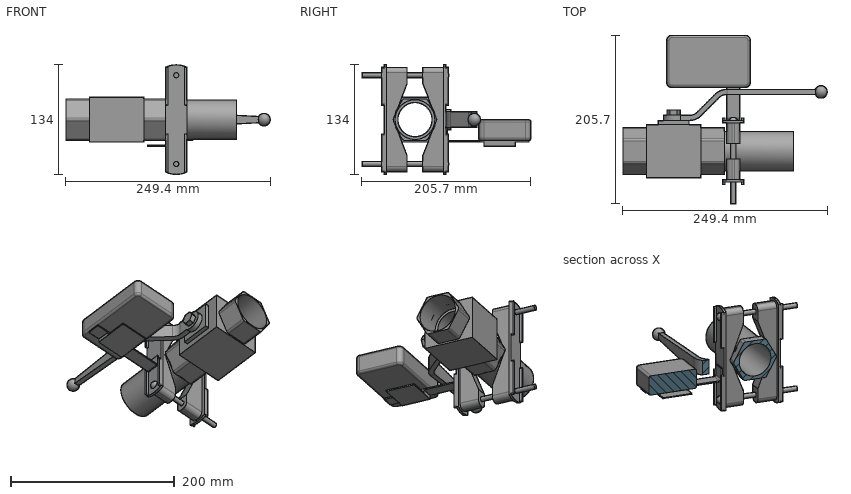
import cadquery as cq
import math


PIPE_DIA = 48.5
PIPE_BORE = 41.5
PIPE_END_X = 208.2
HEX_FLATS = 50.5
HEX_EDGE_RADIUS = 3.7
HEX_LENGTH = 124.0
BLOCK_LENGTH = 66.3
BLOCK_WIDTH = 64.8
BLOCK_HEIGHT = 55.0
SOCKET_DEPTH = 40.0
VALVE_MID_X = HEX_LENGTH / 2

BONNET_SIZE = 38.0
BONNET_HEIGHT = 5.0
NUT_FLATS = 14.5
NUT_HEIGHT = 6.5
BONNET_Y = BLOCK_WIDTH / 2
LEVER_Y = BONNET_Y + BONNET_HEIGHT

LEVER_THICKNESS = 6.5
LEVER_WIDTH = 19.2
LEVER_TIP_WIDTH = 7.2
LEVER_OFFSET = 31.7
LEVER_BEND_X = 88.3
LEVER_BEND_RADIUS = 16.5
LEVER_BEND_ANGLE = math.radians(45)
HUB_DIA = 25.2
BALL_RADIUS = 7.7
TOTAL_LENGTH = 249.4
BALL_X = TOTAL_LENGTH - BALL_RADIUS

CLAMP_X = 134.7
CLAMP_WIDTH = 25.7
CLAMP_HEIGHT = 134.0
PLATE_INNER_Y = 34.7
PLATE_THICKNESS = 3.0
PLATE_CROWN = 3.0
LIP_WIDTH = 3.0
LIP_HEIGHT = 3.0
LIP_INNER_Z = 17.5
PAD_WIDTH = 16.2
PAD_HEIGHT = 127.7
PAD_CORNER_RADIUS = 6.5
PAD_TIP_Y = 9.5
NOTCH_APEX_Y = 26.7
NOTCH_HALF_HEIGHT = 44.0
ROD_DIA = 6.2
ROD_Z = 54.0
ROD_END_Y = -64.3
HEAD_HEIGHT = 3.7
HEAD_DIA = 10.5
PLATE_OUTER_Y = PLATE_INNER_Y + PLATE_THICKNESS
PLATE_EDGE_Z = CLAMP_HEIGHT / 2 - PLATE_CROWN

TOTAL_DEPTH = 205.7
BOX_MIN_X = 53.4
BOX_LENGTH = 102.2
BOX_WIDTH = 63.8
BOX_HEIGHT = 25.7
BOX_CORNER_RADIUS = 6.5
BOX_EDGE_RADIUS = 3.0
SHEET = 1.7
ARM_END_Y = 139.1
TAB_TOP_Z = -10.0
TAB_BEND_RADIUS = 2.0
HOOK_MIN_X = 99.7
HOOK_MIN_Y = 84.0
HOOK_MAX_Y = 122.5
HOOK_GAP = 3.5
BOX_MAX_Y = TOTAL_DEPTH + ROD_END_Y
ARM_TOP_Z = -BOX_HEIGHT


def box_between(low, high):
    """Box between two opposite corners."""
    size = [b - a for a, b in zip(low, high)]
    return cq.Workplane("XY").box(*size, centered=False).translate(low)


def hexagon_corners(flats):
    """Width across the corners of a hexagon from its width across the flats."""
    return flats / math.cos(math.pi / 6)


def make_valve_core():
    """Hexagonal ends, square block and outlet pipe, bored through."""
    hexagon = (
        cq.Workplane("YZ").polygon(6, hexagon_corners(HEX_FLATS)).extrude(HEX_LENGTH)
        .edges("|X").fillet(HEX_EDGE_RADIUS)
    )
    block = cq.Workplane("XY").box(BLOCK_LENGTH, BLOCK_WIDTH, BLOCK_HEIGHT).translate((VALVE_MID_X, 0, 0))
    pipe = cq.Workplane("YZ").circle(PIPE_DIA / 2).extrude(PIPE_END_X)
    bore = cq.Workplane("YZ").circle(PIPE_BORE / 2).extrude(PIPE_END_X)
    socket = cq.Workplane("YZ").circle(PIPE_DIA / 2).extrude(SOCKET_DEPTH)
    return hexagon.union(block).union(pipe).cut(bore).cut(socket)


def make_stem():
    """Square bonnet, lever hub and hexagonal nut along the stem axis."""
    def stem_plane(y):
        return cq.Workplane(cq.Plane((VALVE_MID_X, y, 0), xDir=(1, 0, 0), normal=(0, 1, 0)))

    bonnet = stem_plane(BONNET_Y).rect(BONNET_SIZE, BONNET_SIZE).extrude(BONNET_HEIGHT)
    hub = stem_plane(LEVER_Y).circle(HUB_DIA / 2).extrude(LEVER_THICKNESS)
    nut = stem_plane(LEVER_Y + LEVER_THICKNESS).polygon(6, hexagon_corners(NUT_FLATS)).extrude(NUT_HEIGHT)
    return bonnet.union(hub).union(nut)


def make_lever():
    """Flat bar with two opposite bends, tapering to a ball knob."""
    low_y = LEVER_Y + LEVER_THICKNESS / 2
    high_y = low_y + LEVER_OFFSET
    high_bend_x = LEVER_BEND_X + LEVER_OFFSET / math.tan(LEVER_BEND_ANGLE)
    tangent = LEVER_BEND_RADIUS * math.tan(LEVER_BEND_ANGLE / 2)
    tangent_dx = tangent * math.cos(LEVER_BEND_ANGLE)
    tangent_dy = tangent * math.sin(LEVER_BEND_ANGLE)
    taper_start_x = high_bend_x + tangent

    path = (
        cq.Workplane("XY").moveTo(VALVE_MID_X, low_y)
        .lineTo(LEVER_BEND_X - tangent, low_y)
        .tangentArcPoint((LEVER_BEND_X + tangent_dx, low_y + tangent_dy), relative=False)
        .lineTo(high_bend_x - tangent_dx, high_y - tangent_dy)
        .tangentArcPoint((taper_start_x, high_y), relative=False)
        .lineTo(BALL_X, high_y)
    )
    bar = (
        cq.Workplane("YZ", origin=(VALVE_MID_X, low_y, 0))
        .rect(LEVER_THICKNESS, LEVER_WIDTH).sweep(path)
    )
    taper = (
        cq.Workplane("XZ")
        .moveTo(VALVE_MID_X, LEVER_WIDTH / 2)
        .lineTo(taper_start_x, LEVER_WIDTH / 2)
        .lineTo(BALL_X, LEVER_TIP_WIDTH / 2)
        .lineTo(BALL_X, -LEVER_TIP_WIDTH / 2)
        .lineTo(taper_start_x, -LEVER_WIDTH / 2)
        .lineTo(VALVE_MID_X, -LEVER_WIDTH / 2)
        .close().extrude(-2 * high_y)
    )
    ball = cq.Workplane("XY").sphere(BALL_RADIUS).translate((BALL_X, high_y, 0))
    return bar.intersect(taper).union(ball)


def make_clamp_half():
    """Clamp half on the +Y side: crowned plate, round-ended lips and V-notched pad."""
    half_width = CLAMP_WIDTH / 2
    plate = (
        cq.Workplane("XZ", origin=(CLAMP_X, PLATE_INNER_Y, 0))
        .moveTo(-half_width, -PLATE_EDGE_Z)
        .threePointArc((0, -CLAMP_HEIGHT / 2), (half_width, -PLATE_EDGE_Z))
        .lineTo(half_width, PLATE_EDGE_Z)
        .threePointArc((0, CLAMP_HEIGHT / 2), (-half_width, PLATE_EDGE_Z))
        .close().extrude(-PLATE_THICKNESS)
    )

    lip_length = PLATE_EDGE_Z - LIP_INNER_Z
    lip_x = (CLAMP_WIDTH - LIP_WIDTH) / 2
    lip_z = (PLATE_EDGE_Z + LIP_INNER_Z) / 2
    lips = (
        cq.Workplane("XZ", origin=(CLAMP_X, PLATE_OUTER_Y, 0))
        .rect(2 * lip_x, 2 * lip_z, forConstruction=True).vertices()
        .slot2D(lip_length, LIP_WIDTH, angle=90).extrude(-LIP_HEIGHT)
    )

    pad = (
        cq.Workplane("XZ", origin=(CLAMP_X, PAD_TIP_Y, 0))
        .rect(PAD_WIDTH, PAD_HEIGHT).extrude(PAD_TIP_Y - PLATE_INNER_Y)
        .edges("|Y").fillet(PAD_CORNER_RADIUS)
    )
    notch = (
        cq.Workplane("YZ", origin=(CLAMP_X - PAD_WIDTH / 2, 0, 0))
        .moveTo(PAD_TIP_Y, -NOTCH_HALF_HEIGHT)
        .lineTo(NOTCH_APEX_Y, 0)
        .lineTo(PAD_TIP_Y, NOTCH_HALF_HEIGHT)
        .close().extrude(PAD_WIDTH)
    )
    return plate.union(lips).union(pad.cut(notch))


def make_bolt(z):
    """Rod across both clamp halves with a domed head on the +Y plate."""
    rod = (
        cq.Workplane("XZ", origin=(CLAMP_X, ROD_END_Y, z))
        .circle(ROD_DIA / 2).extrude(ROD_END_Y - PLATE_OUTER_Y)
    )
    dome_radius = ((HEAD_DIA / 2) ** 2 + HEAD_HEIGHT ** 2) / (2 * HEAD_HEIGHT)
    dome_y = PLATE_OUTER_Y + HEAD_HEIGHT - dome_radius
    dome = cq.Workplane("XY").sphere(dome_radius).translate((CLAMP_X, dome_y, z))
    cap_space = box_between(
        (CLAMP_X - HEAD_DIA, PLATE_OUTER_Y, z - HEAD_DIA),
        (CLAMP_X + HEAD_DIA, PLATE_OUTER_Y + HEAD_DIA, z + HEAD_DIA),
    )
    return rod.union(dome.intersect(cap_space))


def make_bracket():
    """Sheet arm under the box with a bent-up tab on the clamp and a hook below."""
    arm_bottom_z = ARM_TOP_Z - SHEET
    arm_min_x = CLAMP_X - PAD_WIDTH / 2
    arm_max_x = CLAMP_X + PAD_WIDTH / 2
    tab_y = PLATE_OUTER_Y + SHEET
    bend_y = tab_y + TAB_BEND_RADIUS
    bend_z = ARM_TOP_Z + TAB_BEND_RADIUS
    inner_offset = TAB_BEND_RADIUS * math.sqrt(0.5)
    outer_offset = (TAB_BEND_RADIUS + SHEET) * math.sqrt(0.5)
    arm = (
        cq.Workplane("YZ", origin=(arm_min_x, 0, 0))
        .moveTo(ARM_END_Y, arm_bottom_z)
        .lineTo(bend_y, arm_bottom_z)
        .threePointArc((bend_y - outer_offset, bend_z - outer_offset), (PLATE_OUTER_Y, bend_z))
        .lineTo(PLATE_OUTER_Y, TAB_TOP_Z)
        .lineTo(tab_y, TAB_TOP_Z)
        .lineTo(tab_y, bend_z)
        .threePointArc((bend_y - inner_offset, bend_z - inner_offset), (bend_y, ARM_TOP_Z))
        .lineTo(ARM_END_Y, ARM_TOP_Z)
        .close().extrude(PAD_WIDTH)
    )

    hook_top_z = arm_bottom_z - HOOK_GAP
    spacer = box_between((arm_min_x, HOOK_MIN_Y, hook_top_z), (arm_max_x, HOOK_MAX_Y, arm_bottom_z))
    hook = box_between((HOOK_MIN_X, HOOK_MIN_Y, hook_top_z - SHEET), (arm_max_x, HOOK_MAX_Y, hook_top_z))
    return arm.union(spacer).union(hook)


def make_housing():
    """Rounded box on the bracket arm."""
    return (
        box_between(
            (BOX_MIN_X, BOX_MAX_Y - BOX_WIDTH, ARM_TOP_Z),
            (BOX_MIN_X + BOX_LENGTH, BOX_MAX_Y, ARM_TOP_Z + BOX_HEIGHT),
        )
        .edges("|Z").fillet(BOX_CORNER_RADIUS)
        .faces("<Z or >Z").edges().fillet(BOX_EDGE_RADIUS)
    )


def make_valve():
    """First body: valve with its pipe, stem and lever."""
    return make_valve_core().union(make_stem()).union(make_lever())


def make_clamp_unit():
    """Second body: two clamp halves, bolts, bracket and box."""
    half = make_clamp_half()
    unit = half.union(half.mirror("XZ"))
    for z in (-ROD_Z, ROD_Z):
        unit = unit.union(make_bolt(z))
    return unit.union(make_bracket()).union(make_housing())


valve = make_valve()
clamp_unit = make_clamp_unit()

result = cq.Compound.makeCompound([valve.val(), clamp_unit.val()])